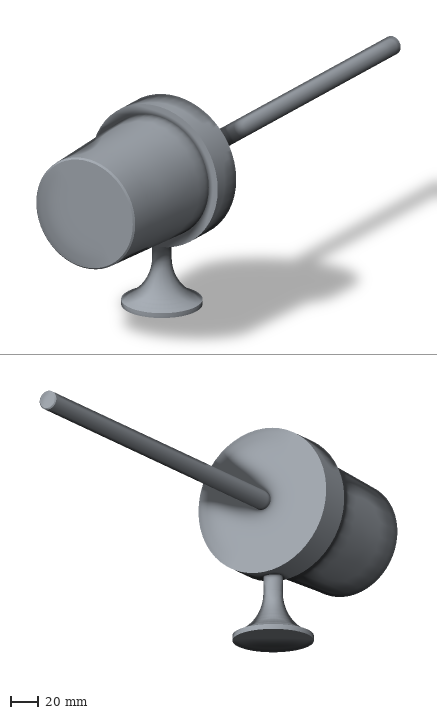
import cadquery as cq

total_length = 421.3
total_height = 158.5

ring_radius = 54.98
ring_width = 25.3
ring_front = 95.0
ring_back = ring_front + ring_width

cup_mouth_radius = 47.0
cup_end_radius = 43.0
cup_end_chamfer = 1.3

handle_radius = 7.0
handle_tip_chamfer = 1.0

support_y = 105.5
support_bottom = ring_radius - total_height
stem_radius = 7.0
collar_height = 1.5
foot_radius = 30.0
foot_rim_height = 4.0
foot_height = 36.5
flare_mid_radius = 11.0
flare_mid_height = 20.5


def cylinder_along_y(radius, start, end):
    """Cylinder on the cup axis between two Y positions."""
    return cq.Workplane("XZ", origin=(0, start, 0)).circle(radius).extrude(start - end)


def cylinder_on_support(radius, bottom, top):
    """Vertical cylinder on the support axis between two Z positions."""
    return cq.Workplane("XY", origin=(0, support_y, bottom)).circle(radius).extrude(top - bottom)


def make_cup():
    """Cup cone up to the ring, then a straight seat through the ring."""
    outline = (
        cq.Workplane("XY")
        .lineTo(cup_end_radius - cup_end_chamfer, 0)
        .lineTo(cup_end_radius, cup_end_chamfer)
        .lineTo(cup_mouth_radius, ring_front)
        .lineTo(cup_mouth_radius, ring_back)
        .lineTo(0, ring_back)
        .close()
    )
    return outline.revolve(360, (0, 0, 0), (0, 1, 0))


def make_ring():
    """Plain ring whose bore fits the cup seat."""
    bore = cylinder_along_y(cup_mouth_radius, ring_front, ring_back)
    return cylinder_along_y(ring_radius, ring_front, ring_back).cut(bore)


def make_handle():
    """Straight rod standing on the back of the cup, with a chamfered tip."""
    rod = cylinder_along_y(handle_radius, ring_back, total_length)
    return rod.faces(">Y").chamfer(handle_tip_chamfer)


def make_foot():
    """Wall foot: a flat rim with a concave flare rising to the stem radius."""
    outline = (
        cq.Workplane("XZ", origin=(0, support_y, support_bottom))
        .lineTo(foot_radius, 0)
        .lineTo(foot_radius, foot_rim_height)
        .threePointArc((flare_mid_radius, flare_mid_height), (stem_radius, foot_height))
        .lineTo(0, foot_height)
        .close()
    )
    return outline.revolve(360, (0, 0, 0), (0, 1, 0))


def make_collar():
    """Thin flush disc between the foot and the stem."""
    bottom = support_bottom + foot_height
    return cylinder_on_support(stem_radius, bottom, bottom + collar_height)


def make_stem():
    """Stem whose top is shaped to the round outside of the ring."""
    bottom = support_bottom + foot_height + collar_height
    ring_clearance = cylinder_along_y(ring_radius, ring_front, ring_back)
    return cylinder_on_support(stem_radius, bottom, -ring_radius + stem_radius).cut(ring_clearance)


cup = make_cup()
ring = make_ring()
handle = make_handle()
foot = make_foot()
collar = make_collar()
stem = make_stem()

result = cq.Compound.makeCompound(
    [cup.val(), ring.val(), handle.val(), foot.val(), collar.val(), stem.val()]
)